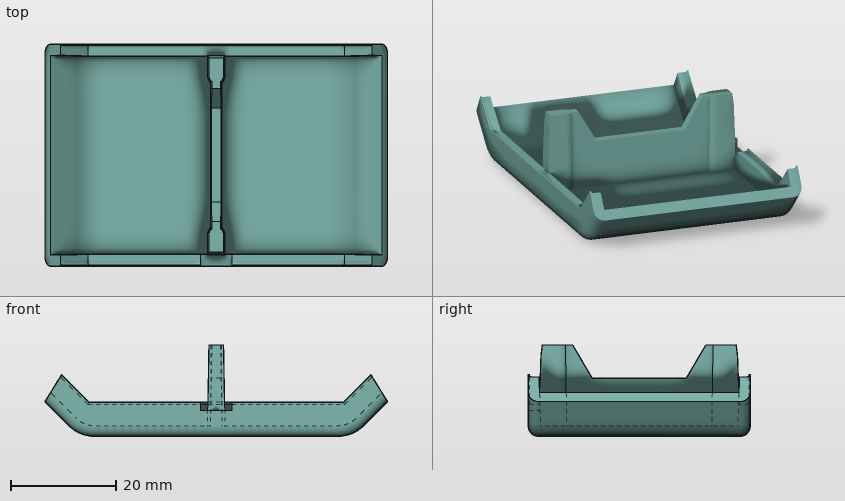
import cadquery as cq
import math

length = 65.1
width = 42.2
wall = 2.0
bend_radius = 7.0
flat_half = 23.05
end_angle = math.radians(45)

rim_height = 6.5
tip_height = 11.7
tip_half = 29.35
wall_top_width = 2.1
wall_draft = math.radians(1.7)

lip_width = 0.25
lip_height = 0.45
lip_root_radius = 0.42

notch_width = 6.05
notch_floor = 4.95

rib_height = 17.4
rib_draft = 1.0
web_half = 1.1
pad_half = 1.7
pad_start = 13.75
pad_straight = 15.35
pad_radius = 2.2
saddle_height = 11.05
saddle_half = 8.9
horn_inner = 12.6
horn_outer = 18.4
horn_shoulder = 18.7
horn_shoulder_height = 15.3
rib_foot_half = 18.95
rib_foot_height = 7.7

half_length = length / 2
half_width = width / 2
rib_base = wall / 2
rim_kink = tip_half - (tip_height - rim_height) / math.tan(end_angle)


def underside_points(offset):
    """Flat end, bend middle, bend end and 45-degree line end, offset inward from the underside."""
    radius = bend_radius - offset
    bend_x = [flat_half + radius * math.sin(a) for a in (end_angle / 2, end_angle)]
    bend_z = [bend_radius - radius * math.cos(a) for a in (end_angle / 2, end_angle)]
    run = half_length - bend_x[1]
    line_end = (half_length, bend_z[1] + run * math.tan(end_angle))
    return (flat_half, offset), (bend_x[0], bend_z[0]), (bend_x[1], bend_z[1]), line_end


def mirrored(point):
    return (-point[0], point[1])


def shell_outline(offset, upper_points):
    """XZ outline: bent bottom at the given offset, closed by the right-hand upper points."""
    flat, middle, bend, end = underside_points(offset)
    outline = (
        cq.Workplane("XZ")
        .moveTo(*mirrored(flat))
        .lineTo(*flat)
        .threePointArc(middle, bend)
        .lineTo(*end)
    )
    for point in upper_points:
        outline = outline.lineTo(*point)
    for point in reversed(upper_points):
        outline = outline.lineTo(*mirrored(point))
    return (
        outline.lineTo(*mirrored(end))
        .lineTo(*mirrored(bend))
        .threePointArc(mirrored(middle), mirrored(flat))
        .close()
    )


def wall_inner_y(z):
    """Half width between the drafted side walls at height z."""
    return half_width - wall_top_width - (tip_height - z) * math.tan(wall_draft)


def long_edge_box(y):
    """Opposite corners of a box holding the centres of the bottom edges at this y, below the rim."""
    margin = 0.05
    return (-half_length, y - margin, -margin), (half_length, y + margin, rim_height - margin)


def outer_block():
    """Bent solid with its long bottom edges rounded."""
    rim_points = [(tip_half, tip_height), (rim_kink, rim_height)]
    block = shell_outline(0, rim_points).extrude(half_width, both=True)
    underside_edges = cq.selectors.SumSelector(
        *(cq.selectors.BoxSelector(*long_edge_box(side * half_width)) for side in (1, -1))
    )
    return block.edges(underside_edges).fillet(wall)


def cavity():
    """Space above the bent floor, between the drafted side walls."""
    above_floor = shell_outline(wall, [(half_length, rib_height)]).extrude(half_width, both=True)
    between_walls = (
        cq.Workplane("YZ")
        .polyline([
            (-wall_inner_y(0), 0),
            (wall_inner_y(0), 0),
            (wall_inner_y(rib_height), rib_height),
            (-wall_inner_y(rib_height), rib_height),
        ])
        .close()
        .extrude(half_length, both=True)
    )
    return above_floor.intersect(between_walls)


def ledge_cutter():
    """Lowers the wall tops inside the lip, rounding the root of the lip."""
    kink = (rim_kink + lip_height * math.tan(end_angle / 2), rim_height - lip_height)
    end = (half_length, kink[1] + (half_length - kink[0]) * math.tan(end_angle))
    top = (half_length, rib_height)
    right_side = [kink, end, top]
    return (
        cq.Workplane("XZ")
        .polyline(right_side + [mirrored(p) for p in reversed(right_side)])
        .close()
        .extrude(half_width - lip_width, both=True)
        .edges("(>Y or <Y) and (not >Z) and (not |Z)")
        .fillet(lip_root_radius)
    )


def notch():
    """Cutter through the full thickness of the -Y side wall."""
    depth = half_width - wall_inner_y(0)
    return (
        cq.Workplane("XY", origin=(0, depth / 2 - half_width, notch_floor))
        .rect(notch_width, depth)
        .extrude(rib_height, combine=False)
    )


def pad_plan(side):
    """Plan of one end pad, rounded down to the web at its inner end."""
    inner, straight, outer = (side * y for y in (pad_start, pad_straight, half_width))
    turn = side * pad_radius
    return (
        cq.Workplane("XY", origin=(0, 0, rib_base))
        .moveTo(-web_half, inner)
        .lineTo(web_half, inner)
        .radiusArc((pad_half, straight), -turn)
        .lineTo(pad_half, outer)
        .lineTo(-pad_half, outer)
        .lineTo(-pad_half, straight)
        .radiusArc((-web_half, inner), -turn)
        .close()
    )


def rib():
    """Tapered web and end pads, trimmed to two horns with a saddle between them."""
    web = (
        cq.Workplane("XY", origin=(0, 0, rib_base))
        .rect(2 * web_half, width)
        .extrude(rib_height, taper=rib_draft)
    )
    plan = web
    for side in (1, -1):
        plan = plan.union(pad_plan(side).extrude(rib_height, taper=rib_draft))

    right_side = [
        (wall_inner_y(rib_base), rib_base),
        (rib_foot_half, rib_foot_height),
        (horn_shoulder, horn_shoulder_height),
        (horn_outer, rib_height),
        (horn_inner, rib_height),
        (saddle_half, saddle_height),
    ]
    elevation = (
        cq.Workplane("YZ")
        .polyline(right_side + [mirrored(p) for p in reversed(right_side)])
        .close()
        .extrude(2 * pad_half, both=True)
    )
    return plan.intersect(elevation)


tray = outer_block().cut(cavity()).cut(ledge_cutter()).cut(notch())
result = tray.union(rib())